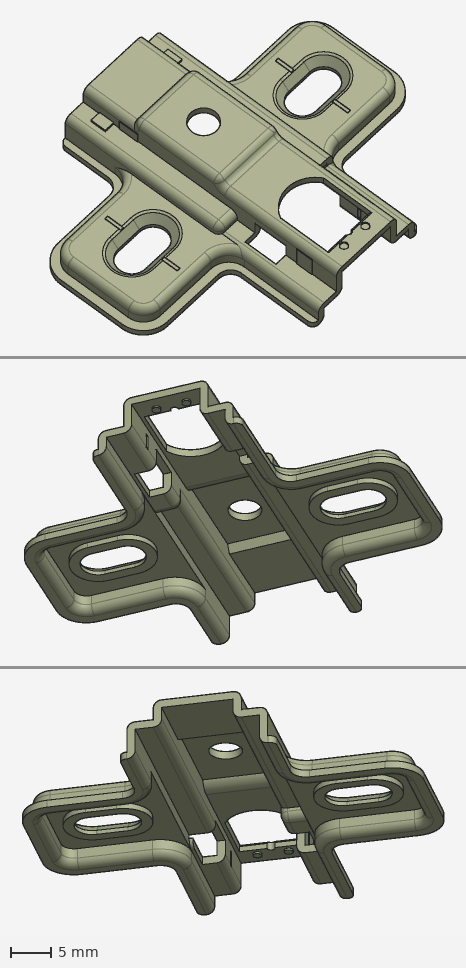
import cadquery as cq
import math

LENGTH = 42.0
WIDTH = 51.2
HEIGHT = 8.9
SHEET = 1.1
FLANGE_THICKNESS = 0.95
HALF_LENGTH = LENGTH / 2
MARGIN = 0.5
TOLERANCE = 0.005

FLANGE_HALF = 10.0
STEP_HALF = 9.0
CREST_HALF = 5.65
CREST_TOP = 7.8
HIGH_STEP_TOP = 5.1
LOW_STEP_TOP = 3.6

EAR_X = -2.0
EAR_TOP = 3.5
EAR_FLANGE_HALF = 9.05
EAR_HALF = 7.8
EAR_END_Y = 24.3
FLANGE_CORNER, FLANGE_THROAT = 4.0, 2.0
EAR_CORNER, EAR_THROAT = 2.75, 2.95
END_CORNER = 0.9

HUMP_START_X, HUMP_END_X = -11.65, 0.65
HUMP_SLOPE = math.radians(60)

SLOT_Y = 16.0
SLOT_STRAIGHT = 4.0
SLOT_TOP_RADIUS = 3.65
SLOT_LIP_RADIUS = 3.3
SLOT_LIP_DEPTH = 0.15
SLOT_BOTTOM_RADIUS = 2.25
SLOT_SEAT_DEPTH = 1.3
COLLAR_DEPTH = 1.85
MARK_HALF_SPAN = 6.0
MARK_WIDTH = 0.5
MARK_DEPTH = 0.1

HOLE_X, HOLE_DIAMETER = -6.0, 4.2
WINDOW_START_X, WINDOW_END_X = 7.5, 12.6
WINDOW_OUTER_Y, WINDOW_TOP = 7.5, 5.6
KEYWAY_START_X, KEYWAY_ARC_X, KEYWAY_END_X = 7.95, 10.35, 18.35
KEYWAY_HALF = 4.05
KEYWAY_BEVEL = 0.35
KEYWAY_NOTCH_RADIUS = 0.5
DIMPLE_X, DIMPLE_Y, DIMPLE_RADIUS, DIMPLE_DEPTH = 19.05, 2.0, 0.55, 0.25
PAD_START_X, PAD_END_X, PAD_OUTER_Y, PAD_HEIGHT = -18.3, -15.9, 7.2, 0.3
RIB_HEIGHT = 0.1
HIGH_RIB = (-14.95, -11.9)
LOW_RIB = (14.45, 17.0)
GROOVE_WIDTH, GROOVE_DEPTH = 0.5, 0.15

STEP_DROP_X = 4.55
STEP_ENDS = {-1: (STEP_DROP_X, STEP_DROP_X - SHEET), 1: (WINDOW_START_X, WINDOW_START_X)}

STEP_INNER = STEP_HALF - SHEET
CREST_INNER = CREST_HALF - SHEET
CREST_UNDERSIDE = CREST_TOP - SHEET
HIGH_STEP_UNDERSIDE = HIGH_STEP_TOP - SHEET
LOW_STEP_UNDERSIDE = LOW_STEP_TOP - SHEET


def block(x_range, y_range, z_range):
    """Axis-aligned box given by its limits."""
    (x0, x1), (y0, y1), (z0, z1) = x_range, y_range, z_range
    return cq.Workplane("XY").box(x1 - x0, y1 - y0, z1 - z0, centered=False).translate((x0, y0, z0))


def cross(half_length, rail_half, ear_half, ear_end, corner, throat, height):
    """Cross-shaped prism: the rail with an ear on each side, standing on Z = 0."""
    rail = cq.Workplane("XY").box(2 * half_length, 2 * rail_half, height, centered=(True, True, False))
    ears = cq.Workplane("XY").box(2 * ear_half, 2 * ear_end, height, centered=(True, True, False))
    ears = ears.translate((EAR_X, 0, 0)).edges("|Z").fillet(corner)
    body = rail.union(ears)
    reach = ear_half + MARGIN
    throats = cq.selectors.BoxSelector(
        (EAR_X - reach, -rail_half - MARGIN, -MARGIN), (EAR_X + reach, rail_half + MARGIN, height + MARGIN)
    )
    return body.edges("|Z").edges(throats).fillet(throat)


def hump_profile(inset):
    """Side profile of the hump, moved in by inset, which is zero or one sheet thickness."""
    base = CREST_TOP - inset
    top = HEIGHT - inset
    sine, cosine = math.sin(HUMP_SLOPE), math.cos(HUMP_SLOPE)
    bend = SHEET - inset
    valley = SHEET + inset
    x0, x1 = HUMP_START_X, HUMP_END_X

    def on_arc(x, z, radius, angle):
        return (x + radius * math.sin(angle), z + radius * math.cos(angle))

    half = HUMP_SLOPE / 2
    left_low = on_arc(x0, top - bend, bend, -HUMP_SLOPE)
    right_mid = on_arc(x1, top - bend, bend, HUMP_SLOPE)
    valley_x = x1 + 2 * SHEET * sine
    valley_z = base + valley
    foot_x = left_low[0] - (left_low[1] - base) * cosine / sine
    floor = base - SHEET - MARGIN
    path = cq.Workplane("XZ").moveTo(foot_x, floor).lineTo(foot_x, base).lineTo(*left_low)
    if bend > 0:
        path = path.threePointArc(on_arc(x0, top - bend, bend, -half), (x0, top))
    path = path.lineTo(x1, top)
    if bend > 0:
        path = path.threePointArc(on_arc(x1, top - bend, bend, half), right_mid)
    valley_mid = (valley_x - valley * math.sin(half), valley_z - valley * math.cos(half))
    return path.threePointArc(valley_mid, (valley_x, base)).lineTo(valley_x, floor).close()


def rail_block(half_width, x_range, top):
    """Box along the rail with rounded long top edges."""
    body = block(x_range, (-half_width, half_width), (0, top))
    return body.edges("|X and >Z").fillet(SHEET)


def outer_hump():
    """Hump with its top and sloped ends rounded into the side faces."""
    body = hump_profile(0).extrude(CREST_HALF, both=True)
    sides = body.faces("<Y or >Y")
    upper = cq.selectors.BoxSelector(
        (-HALF_LENGTH, -CREST_HALF - MARGIN, CREST_TOP - SHEET / 2),
        (HALF_LENGTH, CREST_HALF + MARGIN, HEIGHT - SHEET / 4),
    )
    return sides.edges(upper).fillet(SHEET)


def outer_body():
    """Outside shape as a full solid: flange, ears, steps, crest and hump."""
    flange = cross(HALF_LENGTH, FLANGE_HALF, EAR_FLANGE_HALF, WIDTH / 2,
                   FLANGE_CORNER, FLANGE_THROAT, FLANGE_THICKNESS)
    flange = flange.edges("|Z and (<X or >X)").fillet(END_CORNER)
    ears = cross(HALF_LENGTH, STEP_HALF, EAR_HALF, EAR_END_Y, EAR_CORNER, EAR_THROAT, EAR_TOP)
    ears = ears.faces(">Z").edges("not(<X or >X)").fillet(SHEET)
    full_length = (-HALF_LENGTH, HALF_LENGTH)
    body = flange.union(ears)
    body = body.union(rail_block(STEP_HALF, full_length, LOW_STEP_TOP))
    for side, (outer_end, _) in STEP_ENDS.items():
        y_range = sorted((0, side * STEP_HALF))
        step = block((-HALF_LENGTH, outer_end), y_range, (0, HIGH_STEP_TOP))
        if side > 0:
            step = step.edges(">Y and >Z").fillet(SHEET)
        else:
            step = step.edges("(<Y and >Z) or (>X and >Z) or (<Y and >X)").fillet(SHEET)
        body = body.union(step)
    body = body.union(rail_block(CREST_HALF, full_length, CREST_TOP))
    return body.union(outer_hump())


def core_body():
    """Hollow under the sheet, one sheet thickness inside the outer body."""
    body = cross(HALF_LENGTH, STEP_INNER, EAR_HALF - SHEET, EAR_END_Y - SHEET,
                 EAR_CORNER - SHEET, EAR_THROAT + SHEET, EAR_TOP - SHEET)
    full_length = (-HALF_LENGTH, HALF_LENGTH)
    body = body.union(block(full_length, (-STEP_INNER, STEP_INNER), (0, LOW_STEP_UNDERSIDE)))
    for side, (_, inner_end) in STEP_ENDS.items():
        high_part = (-HALF_LENGTH, inner_end)
        y_range = sorted((0, side * STEP_INNER))
        body = body.union(block(high_part, y_range, (0, HIGH_STEP_UNDERSIDE)))
    body = body.union(block(full_length, (-CREST_INNER, CREST_INNER), (0, CREST_UNDERSIDE)))
    for side, (_, inner_end) in STEP_ENDS.items():
        body = body.edges(step_bends(side, inner_end)).fillet(SHEET)
    return body.union(hump_profile(SHEET).extrude(CREST_INNER, both=True))


def step_bends(side, drop_x):
    """Selects the hollow's inward corners along one step and where that step drops."""
    near, far = sorted((side * (CREST_INNER - TOLERANCE), side * (CREST_INNER + TOLERANCE)))
    low = LOW_STEP_UNDERSIDE - TOLERANCE
    along_crest = cq.selectors.BoxSelector(
        (-HALF_LENGTH, near, low), (HALF_LENGTH, far, HIGH_STEP_UNDERSIDE + TOLERANCE)
    )
    near, far = sorted((side * CREST_INNER, side * STEP_INNER))
    at_drop = cq.selectors.BoxSelector(
        (drop_x - TOLERANCE, near, low), (drop_x + TOLERANCE, far, low + 2 * TOLERANCE)
    )
    return along_crest + at_drop


def round_bottom_rim(shell):
    """Rounds the lower inside edge, where the walls turn out into the flange."""
    end_y = EAR_END_Y - SHEET / 2
    ear_reach = (EAR_HALF + EAR_FLANGE_HALF) / 2
    under_ears = cq.selectors.BoxSelector(
        (EAR_X - ear_reach, -end_y, -MARGIN), (EAR_X + ear_reach, end_y, MARGIN)
    )
    rail_reach = HALF_LENGTH - MARGIN
    under_rail = cq.selectors.BoxSelector(
        (-rail_reach, -STEP_HALF, -MARGIN), (rail_reach, STEP_HALF, MARGIN)
    )
    return shell.faces("<Z").edges(under_ears + under_rail).fillet(SHEET)


def slot_prism(radius_low, radius_high, z_low, z_high):
    """Slot along Y at the ear centre line, tapering from one end radius to the other."""
    taper_depth = z_high - z_low
    taper = math.degrees(math.atan2(radius_low - radius_high, taper_depth))
    profile = cq.Workplane("XY", origin=(EAR_X, 0, z_low))
    profile = profile.slot2D(SLOT_STRAIGHT + 2 * radius_low, 2 * radius_low, 90)
    return profile.extrude(taper_depth, taper=taper)


def slot_cutter():
    """Dished screw slot: through hole, sloped seat, shallow lip and two alignment marks."""
    seat_base = EAR_TOP - SLOT_SEAT_DEPTH
    lip_base = EAR_TOP - SLOT_LIP_DEPTH
    cutter = slot_prism(SLOT_BOTTOM_RADIUS, SLOT_BOTTOM_RADIUS, 0, seat_base)
    cutter = cutter.union(slot_prism(SLOT_BOTTOM_RADIUS, SLOT_LIP_RADIUS, seat_base, lip_base))
    cutter = cutter.union(slot_prism(SLOT_LIP_RADIUS, SLOT_TOP_RADIUS, lip_base, EAR_TOP))
    marks = block(
        (EAR_X - MARK_HALF_SPAN, EAR_X + MARK_HALF_SPAN),
        (-MARK_WIDTH / 2, MARK_WIDTH / 2),
        (EAR_TOP - MARK_DEPTH, EAR_TOP),
    )
    return cutter.union(marks)


def keyway_cutter():
    """D-shaped crest opening with a bevelled, notched straight end."""
    z0 = CREST_UNDERSIDE
    z1 = CREST_TOP
    bevel_x = KEYWAY_END_X - KEYWAY_BEVEL
    opening = (
        cq.Workplane("XY", origin=(0, 0, z0))
        .moveTo(bevel_x, -KEYWAY_HALF)
        .lineTo(bevel_x, KEYWAY_HALF)
        .lineTo(KEYWAY_ARC_X, KEYWAY_HALF)
        .threePointArc((KEYWAY_START_X, 0), (KEYWAY_ARC_X, -KEYWAY_HALF))
        .close()
        .extrude(SHEET)
    )
    bevel = (
        cq.Workplane("XZ")
        .polyline([(bevel_x, z1 - KEYWAY_BEVEL), (KEYWAY_END_X, z1), (bevel_x, z1)])
        .close()
        .extrude(KEYWAY_HALF, both=True)
    )
    notch = cq.Workplane("XY", origin=(bevel_x, 0, z0)).circle(KEYWAY_NOTCH_RADIUS).extrude(SHEET)
    return opening.union(bevel).union(notch)


def dimples(top):
    """Pair of round plugs, one dimple depth tall, with their tops at the given height."""
    spots = cq.Workplane("XY", origin=(DIMPLE_X, 0, top)).pushPoints([(0, -DIMPLE_Y), (0, DIMPLE_Y)])
    return spots.circle(DIMPLE_RADIUS).extrude(-DIMPLE_DEPTH)


result = round_bottom_rim(outer_body().cut(core_body()))

for side in (-1, 1):
    place = (0, side * SLOT_Y, 0)
    collar = slot_prism(SLOT_TOP_RADIUS, SLOT_TOP_RADIUS, EAR_TOP - COLLAR_DEPTH, EAR_TOP)
    result = result.union(collar.translate(place)).cut(slot_cutter().translate(place))

hole = cq.Workplane("XY", origin=(HOLE_X, 0, CREST_UNDERSIDE)).circle(HOLE_DIAMETER / 2)
result = result.cut(hole.extrude(HEIGHT))
result = result.cut(keyway_cutter())
result = result.union(dimples(CREST_UNDERSIDE)).cut(dimples(CREST_TOP))

for side in (-1, 1):
    window_y = sorted((side * CREST_INNER, side * WINDOW_OUTER_Y))
    result = result.cut(block((WINDOW_START_X, WINDOW_END_X), window_y, (0, WINDOW_TOP)))

    pad_y = sorted((side * CREST_HALF, side * PAD_OUTER_Y))
    pad_z = (HIGH_STEP_TOP, HIGH_STEP_TOP + PAD_HEIGHT)
    result = result.union(block((PAD_START_X, PAD_END_X), pad_y, pad_z))

    rib_y = sorted((side * CREST_HALF, side * (CREST_HALF + RIB_HEIGHT)))
    for rib_x, rib_base in ((HIGH_RIB, HIGH_STEP_TOP), (LOW_RIB, LOW_STEP_TOP)):
        result = result.union(block(rib_x, rib_y, (rib_base, CREST_UNDERSIDE)))

    groove_x = sum(LOW_RIB) / 2
    groove_y = sorted((side * CREST_INNER, side * (CREST_INNER + GROOVE_DEPTH)))
    groove = block(
        (groove_x - GROOVE_WIDTH / 2, groove_x + GROOVE_WIDTH / 2), groove_y, (LOW_STEP_TOP, WINDOW_TOP)
    )
    result = result.cut(groove)